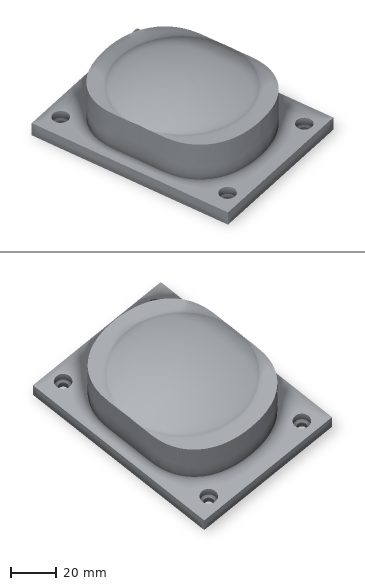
import cadquery as cq

plate_length = 106.0
plate_width = 80.0
plate_thickness = 7.0

block_height = 19.9
block_half_length = 42.1
block_half_width = 33.5
shoulder_x = 21.6
shoulder_y = 32.5

total_height = 33.4
dome_base_radius = 33.9

hole_spacing_x = 90.1
hole_spacing_y = 58.3
hole_diameter = 4.8
counterbore_diameter = 8.2
counterbore_depth = 4.0

block_top = plate_thickness + block_height
dome_height = total_height - block_top


def make_plate():
    plate = cq.Workplane("XY").box(
        plate_length, plate_width, plate_thickness, centered=(True, True, False)
    )
    return (
        plate.faces(">Z")
        .workplane()
        .rect(hole_spacing_x, hole_spacing_y, forConstruction=True)
        .vertices()
        .cboreHole(hole_diameter, counterbore_diameter, counterbore_depth)
    )


def make_oval_prism(height):
    """Prism on the plate with a smooth oval outline, symmetric in X and Y."""
    right, left = (block_half_length, 0), (-block_half_length, 0)
    back, front = (0, block_half_width), (0, -block_half_width)
    toward_right, toward_left = (1, 0), (-1, 0)
    toward_back, toward_front = (0, 1), (0, -1)
    quarters = [
        (right, (shoulder_x, shoulder_y), back, toward_back, toward_left),
        (back, (-shoulder_x, shoulder_y), left, toward_left, toward_front),
        (left, (-shoulder_x, -shoulder_y), front, toward_front, toward_right),
        (front, (shoulder_x, -shoulder_y), right, toward_right, toward_back),
    ]
    outline = cq.Workplane("XY", origin=(0, 0, plate_thickness)).moveTo(*right)
    for start, shoulder, end, start_direction, end_direction in quarters:
        outline = outline.spline([start, shoulder, end], tangents=[start_direction, end_direction])
    return outline.close().extrude(height)


def make_dome():
    """Spherical cap, trimmed where it would overhang the block's long sides."""
    sphere_radius = (dome_base_radius**2 + dome_height**2) / (2 * dome_height)
    sphere = cq.Workplane("XY", origin=(0, 0, total_height - sphere_radius)).sphere(sphere_radius)
    cap_space = (
        cq.Workplane("XY", origin=(0, 0, block_top))
        .circle(dome_base_radius)
        .extrude(dome_height)
    )
    trim = make_oval_prism(total_height - plate_thickness)
    return sphere.intersect(cap_space).intersect(trim)


block = make_oval_prism(block_height)
result = make_plate().union(block).union(make_dome())